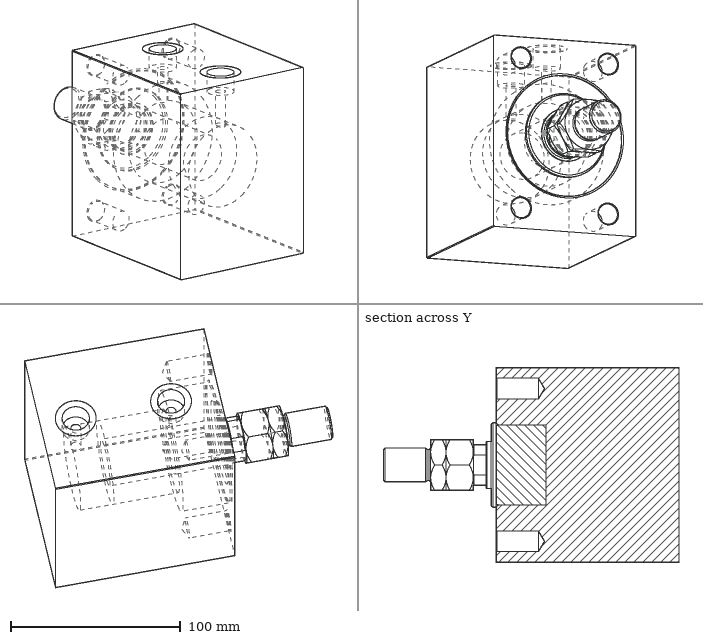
import cadquery as cq
import math


overall_length = 174.5
block_length = 108.0
block_width = 90.0
block_height = 115.0
block_edge_chamfer = 0.5

bore_diameter = 50.0
bore_end = 88.8
gland_diameter = 72.5
gland_depth = 29.3
seat_chamfer = 1.0

mount_spacing_y = 55.1
mount_spacing_z = 90.0
mount_diameter = 12.0
mount_chamfer = 0.5
mount_depth = 25.0
drill_point_angle = 118.0

port_positions = (29.1, 86.5)
port_face_diameter = 24.0
port_face_depth = 0.2
port_diameter = 16.0
port_depth = 12.0
passage_diameter = 6.0
passage_overlap = 0.9

neck_diameter = bore_diameter
neck_length = 3.0
neck_chamfer = 1.0
wiper_recess_diameter = 31.4
wiper_recess_depth = 1.0

rod_diameter = 28.0
rod_collar_front = -6.0
rod_front = -13.5
rod_chamfer = 0.5
flats_diameter = rod_diameter - 2 * rod_chamfer
flats_width = 24.0
piston_length = 20.0

hex_width = 30.0
inner_hex_length = 16.0
outer_hex_length = 9.0
stud_diameter = 20.0
stud_chamfer = 1.0
relief_depth = 0.9
relief_length = 3.0

hex_joint = rod_front - inner_hex_length
hex_front = hex_joint - outer_hex_length
stud_front = block_length - overall_length
top_face = block_height / 2


def turned(profile):
    """Revolve a closed list of (x, radius) points about the X axis."""
    return cq.Workplane("XY").polyline(profile).close().revolve(360, (0, 0, 0), (1, 0, 0))


def cylinder(x_start, x_end, diameter):
    """Round bar along the X axis."""
    return cq.Workplane("YZ", origin=(x_start, 0, 0)).circle(diameter / 2).extrude(x_end - x_start)


def mounting_hole(y, z):
    """Blind drilled hole with a chamfered mouth and a conical bottom, entering at X = 0."""
    radius = mount_diameter / 2
    point_length = radius / math.tan(math.radians(drill_point_angle / 2))
    hole = turned([
        (0, 0),
        (0, radius + mount_chamfer),
        (mount_chamfer, radius),
        (mount_depth, radius),
        (mount_depth + point_length, 0),
    ])
    return hole.translate((0, y, z))


def port(x):
    """Spot face, port hole and narrow passage that opens into the bore."""
    top = cq.Workplane("XY", origin=(x, 0, top_face))
    passage_length = top_face - bore_diameter / 2 + passage_overlap
    spot_face = top.circle(port_face_diameter / 2).extrude(-port_face_depth)
    hole = top.circle(port_diameter / 2).extrude(-port_depth)
    passage = top.circle(passage_diameter / 2).extrude(-passage_length)
    return spot_face.union(hole).union(passage)


def make_housing():
    """Block with a stepped blind bore, mounting holes and oil ports."""
    block = cq.Workplane("YZ").rect(block_width, block_height).extrude(block_length)
    block = block.edges("|X").chamfer(block_edge_chamfer)

    seat_radius = gland_diameter / 2
    bore_radius = bore_diameter / 2
    bore = turned([
        (0, 0),
        (0, seat_radius + seat_chamfer),
        (seat_chamfer, seat_radius),
        (gland_depth, seat_radius),
        (gland_depth, bore_radius),
        (bore_end, bore_radius),
        (bore_end, 0),
    ])
    block = block.cut(bore)

    for y_side in (-1, 1):
        for z_side in (-1, 1):
            block = block.cut(mounting_hole(y_side * mount_spacing_y / 2, z_side * mount_spacing_z / 2))
    for x in port_positions:
        block = block.cut(port(x))
    return block


def make_gland():
    """Rod guide seated in the housing bore."""
    seat = cylinder(0, gland_depth, gland_diameter)
    neck = cylinder(-neck_length, 0, neck_diameter).faces("<X").edges().chamfer(neck_chamfer)
    rod_hole = cylinder(-neck_length, gland_depth, rod_diameter)
    wiper_recess = cylinder(-neck_length, wiper_recess_depth - neck_length, wiper_recess_diameter)
    return seat.union(neck).cut(rod_hole).cut(wiper_recess)


def make_piston_rod():
    """Rod with piston at its inner end and four wrench flats at its outer end."""
    flats_length = rod_collar_front - rod_front
    flats = cylinder(rod_front, rod_collar_front, flats_diameter).faces("<X").edges().chamfer(rod_chamfer)
    square = cq.Workplane("YZ", origin=(rod_front, 0, 0)).rect(flats_width, flats_width).extrude(flats_length)
    flats = flats.intersect(square)

    shaft = cylinder(rod_collar_front, bore_end, rod_diameter).faces("<X").edges().chamfer(rod_chamfer)
    piston = cylinder(bore_end - piston_length, bore_end, bore_diameter)
    return flats.union(shaft).union(piston)


def chamfered_hex(x_start, x_end):
    """Hexagon with flats facing +Z and -Z, its corners turned off at 45 degrees at both ends."""
    corner_radius = hex_width / math.sqrt(3)
    face_radius = hex_width / 2
    corner_cut = corner_radius - face_radius
    prism = (
        cq.Workplane("YZ", origin=(x_start, 0, 0))
        .polygon(6, 2 * corner_radius)
        .extrude(x_end - x_start)
    )
    envelope = turned([
        (x_start, 0),
        (x_start, face_radius),
        (x_start + corner_cut, corner_radius),
        (x_end - corner_cut, corner_radius),
        (x_end, face_radius),
        (x_end, 0),
    ])
    return prism.intersect(envelope)


def make_rod_end():
    """One-piece end fitting that butts against the rod: two hexagons and a stud."""
    radius = stud_diameter / 2
    relief_radius = radius - relief_depth
    relief_front = hex_front - relief_length
    stud = turned([
        (stud_front, 0),
        (stud_front, radius - stud_chamfer),
        (stud_front + stud_chamfer, radius),
        (relief_front, radius),
        (relief_front + relief_depth, relief_radius),
        (hex_front - relief_depth, relief_radius),
        (hex_front, radius),
        (hex_front, 0),
    ])
    outer_hex = chamfered_hex(hex_front, hex_joint)
    inner_hex = chamfered_hex(hex_joint, rod_front)
    return stud.union(outer_hex).union(inner_hex)


housing = make_housing()
gland = make_gland()
piston_rod = make_piston_rod()
rod_end = make_rod_end()

result = cq.Compound.makeCompound([housing.val(), gland.val(), piston_rod.val(), rod_end.val()])